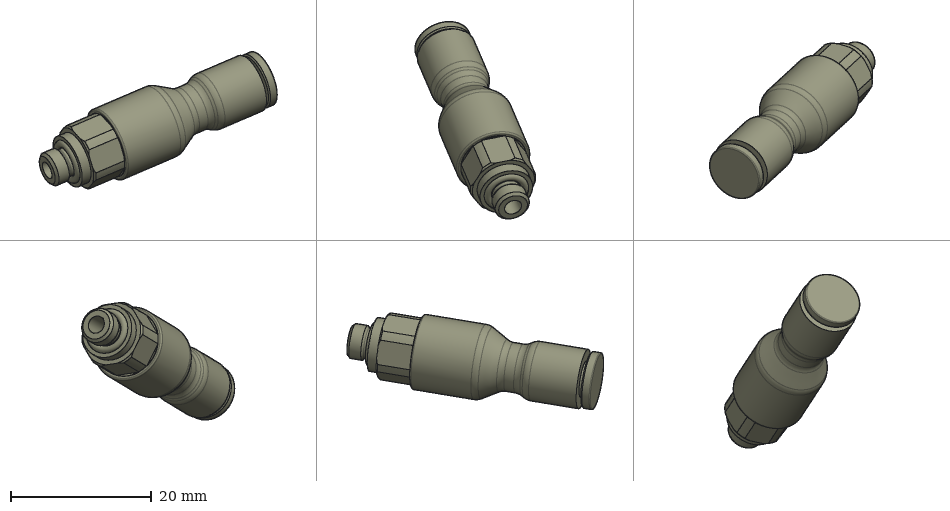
import cadquery as cq
import math

overall_length = 36.05
tip_y = -overall_length / 2
tube_end_y = overall_length / 2

thread_radius = 2.52
thread_chamfer = 0.4
thread_length = 2.13
thread_and_undercut_length = 3.42
undercut_radius = 2.1
undercut_fillet = 0.35
undercut_angle = math.radians(45)
bore_radius = 1.25
bore_depth = 4.9

seal_radius = 3.28
seal_section_radius = 0.55
flange_radius = 3.9
flange_length = 1.48

hex_across_flats = 8.97
hex_corner_radius = 4.83
hex_length = 5.05
hex_chamfer = 0.25
hex_seat_depth = 0.1

body_diameter = 10.85
body_radius = body_diameter / 2
body_end_fillet = 0.25
body_shoulder_y = 0.95
waist_radius = 3.53
sleeve_radius = 4.3
sleeve_shoulder_y = 9.1
sleeve_end_y = 16.05
blend_radius = 2.0
cone_angle = math.radians(30)

collar_radius = 4.1
collar_length = 1.4
collar_chamfer = 0.2
collar_edge_fillet = 0.15
collar_neck_radius = 2.6

flange_y = tip_y + thread_and_undercut_length
hex_y = flange_y + flange_length
body_y = hex_y + hex_length
seat_y = body_y + hex_seat_depth
collar_y = tube_end_y - collar_length

blend_run = blend_radius * math.sin(cone_angle)
blend_rise = blend_radius * (1 - math.cos(cone_angle))


def transition_length(large_radius):
    """Axial length from a large cylinder to the waist: arc, cone, arc."""
    cone_rise = large_radius - waist_radius - 2 * blend_rise
    return 2 * blend_run + cone_rise / math.tan(cone_angle)


def make_cylinder(radius, start_y, end_y):
    """Solid cylinder on the Y axis between two stations."""
    plane = cq.Plane(origin=(0, start_y, 0), xDir=(1, 0, 0), normal=(0, 1, 0))
    return cq.Workplane(plane).circle(radius).extrude(end_y - start_y)


def make_main_body():
    """Body with its hexagon seat, waist and sleeve, with tangent arcs on both shoulders."""
    waist_start_y = body_shoulder_y + transition_length(body_radius)
    waist_end_y = sleeve_shoulder_y - transition_length(sleeve_radius)
    profile = (
        cq.Workplane("XY")
        .moveTo(0, body_y)
        .lineTo(body_radius, body_y)
        .lineTo(body_radius, body_shoulder_y)
        .tangentArcPoint((body_radius - blend_rise, body_shoulder_y + blend_run), relative=False)
        .lineTo(waist_radius + blend_rise, waist_start_y - blend_run)
        .tangentArcPoint((waist_radius, waist_start_y), relative=False)
        .lineTo(waist_radius, waist_end_y)
        .tangentArcPoint((waist_radius + blend_rise, waist_end_y + blend_run), relative=False)
        .lineTo(sleeve_radius - blend_rise, sleeve_shoulder_y - blend_run)
        .tangentArcPoint((sleeve_radius, sleeve_shoulder_y), relative=False)
        .lineTo(sleeve_radius, sleeve_end_y)
        .lineTo(0, sleeve_end_y)
        .close()
    )
    body = profile.revolve(360, (0, 0, 0), (0, 1, 0))
    body = body.faces("<Y").edges().fillet(body_end_fillet)
    return body.cut(make_cylinder(hex_corner_radius, body_y, seat_y))


def make_hexagon():
    """Hexagon with flats on +Z and -Z, trimmed by a cylinder chamfered at its -Y end."""
    plane = cq.Plane(origin=(0, hex_y, 0), xDir=(1, 0, 0), normal=(0, 1, 0))
    across_corners = hex_across_flats / math.cos(math.radians(30))
    prism = cq.Workplane(plane).polygon(6, across_corners).extrude(seat_y - hex_y)
    turned_blank = make_cylinder(hex_corner_radius, hex_y, seat_y).faces("<Y").chamfer(hex_chamfer)
    return prism.intersect(turned_blank)


def make_seal_ring():
    """Torus centred on the flange face."""
    section_center = seal_radius - seal_section_radius
    section = cq.Workplane("XY").center(section_center, flange_y).circle(seal_section_radius)
    return section.revolve(360, (-section_center, 0, 0), (-section_center, 1, 0))


def make_thread_stub():
    """Plain thread cylinder with an end chamfer, a conical run-out and a filleted undercut."""
    thread_end_y = tip_y + thread_length
    fillet_rise = undercut_fillet * (1 - math.cos(undercut_angle))
    fillet_run = undercut_fillet * math.sin(undercut_angle)
    cone_end_radius = undercut_radius + fillet_rise
    cone_end_y = thread_end_y + (thread_radius - cone_end_radius) / math.tan(undercut_angle)
    profile = (
        cq.Workplane("XY")
        .moveTo(0, tip_y)
        .lineTo(thread_radius - thread_chamfer, tip_y)
        .lineTo(thread_radius, tip_y + thread_chamfer)
        .lineTo(thread_radius, thread_end_y)
        .lineTo(cone_end_radius, cone_end_y)
        .tangentArcPoint((undercut_radius, cone_end_y + fillet_run), relative=False)
        .lineTo(undercut_radius, flange_y)
        .lineTo(0, flange_y)
        .close()
    )
    return profile.revolve(360, (0, 0, 0), (0, 1, 0))


def make_release_collar():
    """Collar with its narrower neck reaching back to the sleeve."""
    collar = make_cylinder(collar_radius, collar_y, tube_end_y)
    collar = collar.faces("<Y").chamfer(collar_chamfer)
    collar = collar.faces(">Y").edges().fillet(collar_edge_fillet)
    neck = make_cylinder(collar_neck_radius, sleeve_end_y, collar_y)
    return collar.union(neck)


bore = make_cylinder(bore_radius, tip_y, tip_y + bore_depth)

result = (
    make_main_body()
    .union(make_hexagon())
    .union(make_cylinder(flange_radius, flange_y, hex_y))
    .union(make_seal_ring())
    .union(make_thread_stub())
    .union(make_release_collar())
    .cut(bore)
)